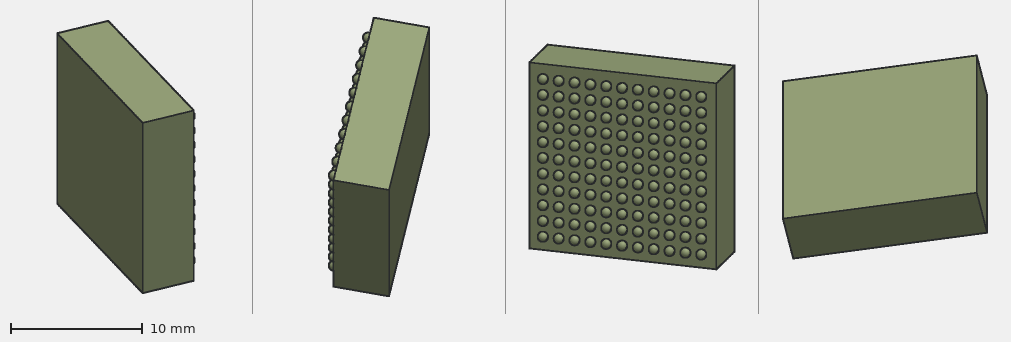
import cadquery as cq

body_side = 15.0
total_depth = 4.92
ball_height = 0.6
body_depth = total_depth - ball_height

balls_per_side = 11
grid_span = 12.7
ball_pitch = grid_span / (balls_per_side - 1)
ball_diameter = 0.8
ball_radius = ball_diameter / 2


def package_body():
    """Square block whose mounting face lies at Y = 0, with the block on the -Y side."""
    return cq.Workplane("XZ").rect(body_side, body_side).extrude(body_depth)


def ball_grid():
    """Square grid of spheres, each partly sunk into the mounting face."""
    ball_centre_y = ball_height - ball_radius
    pole_axis = (0, 1, 0)
    return (
        cq.Workplane("XZ", origin=(0, ball_centre_y, 0))
        .rarray(ball_pitch, ball_pitch, balls_per_side, balls_per_side)
        .sphere(ball_radius, direct=pole_axis, combine=False)
    )


result = package_body().union(ball_grid())